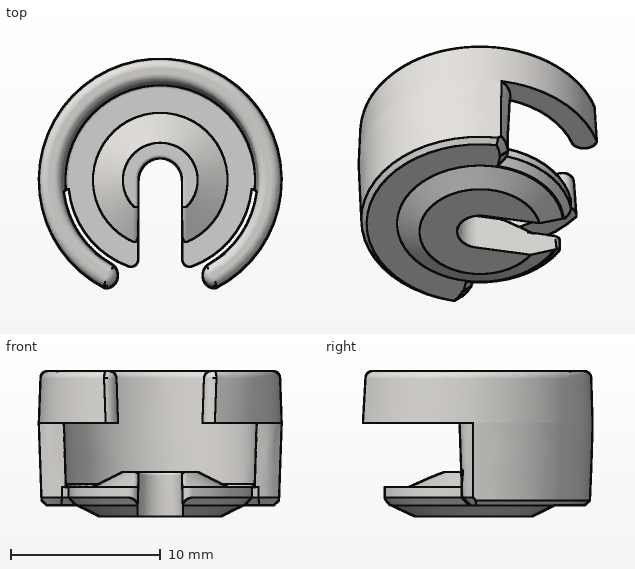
import cadquery as cq
import math

FLOOR_BOTTOM = 0.75
CHAMFER_TOP = 1.28
FLOOR_TOP = 2.0
HUB_TOP = 3.0
BAND_BOTTOM = 6.25
RIM_TOP = 9.75

DRAFT_ANGLE = 2.0
DRAFT_SLOPE = math.tan(math.radians(DRAFT_ANGLE))
OUTER_RADIUS = 8.125
INNER_RADIUS = 6.485
RIM_FILLET = 0.5
BOTTOM_CHAMFER = 0.35

STOCK_INNER_RADIUS = 6.0
WALL_STOCK = 1.0

TIP_X = 2.82
TIP_Y = -6.42
TIP_OUTER_RUN = 0.83
TIP_INNER_RUN = 0.58

WALL_END_Y = -0.8
WALL_ROUND_Y = 0.1

DISC_RADIUS = 6.15
DISC_CHAMFER = CHAMFER_TOP - FLOOR_BOTTOM
HUB_TOP_RADIUS = 2.5
HUB_BASE_RADIUS = 4.5
CONE_BOTTOM_RADIUS = 4.05
CONE_TOP_RADIUS = 5.55
HUB_SKIRT = 0.5
BACK_FLOOR_RADIUS = 6.6
BACK_FLOOR_FRONT_Y = -0.65
FLOOR_FILLET = 0.2

SLOT_HALF_WIDTH = 1.535
SLOT_EDGE_FILLET = 0.25
SLOT_MOUTH_FILLET = 0.5
SLOT_REACH = 10.0


def shrink(z):
    """Draft setback at height z, measured from the underside of the band."""
    return abs(z - BAND_BOTTOM) * DRAFT_SLOPE


def outer_radius(z):
    """The outside narrows both up and down from the underside of the band."""
    return OUTER_RADIUS - shrink(z)


def inner_radius(z):
    """The bore opens steadily upward."""
    return INNER_RADIUS + (z - BAND_BOTTOM) * DRAFT_SLOPE


def on_circle(radius, x):
    """Point of a circle at the given x, on its -Y half."""
    return (x, -math.sqrt(radius**2 - x**2))


def mirrored(point):
    return (-point[0], point[1])


def at_radius(point, radius):
    """Slide a point along its radial line to the given radius."""
    scale = radius / math.hypot(*point)
    return (point[0] * scale, point[1] * scale)


def c_outline(z, outer_end, middle, inner_end, outer_stock=0.0):
    """C-shaped wire open toward -Y, with a rounded end through the three given +X points.

    It reaches inward past the bore, and outward past outer_end by outer_stock.
    """
    stock_inner = at_radius(inner_end, STOCK_INNER_RADIUS)
    arc_radius = math.hypot(*outer_end) + outer_stock
    stock_outer = at_radius(outer_end, arc_radius)
    outline = (
        cq.Workplane("XY", origin=(0, 0, z))
        .moveTo(*stock_outer)
        .threePointArc((0, arc_radius), mirrored(stock_outer))
    )
    if outer_stock > 0:
        outline = outline.lineTo(*mirrored(outer_end))
    return (
        outline
        .threePointArc(mirrored(middle), mirrored(inner_end))
        .lineTo(*mirrored(stock_inner))
        .threePointArc((0, STOCK_INNER_RADIUS), stock_inner)
        .lineTo(*inner_end)
        .threePointArc(middle, outer_end)
        .close()
        .val()
    )


def band_outline(z):
    tip_x = TIP_X + shrink(z)
    outer_end = on_circle(outer_radius(z), tip_x + TIP_OUTER_RUN)
    inner_end = on_circle(inner_radius(z), tip_x + TIP_INNER_RUN)
    return c_outline(z, outer_end, (tip_x, TIP_Y), inner_end)


def wall_outline(z, end_setback=0.0):
    """Each end is an arc, parallel to X at the bore and curving back to the outside."""
    end_y = WALL_END_Y + shrink(z) + end_setback
    round_y = WALL_ROUND_Y + end_setback
    outer_end = (math.sqrt(outer_radius(z)**2 - round_y**2), round_y)
    inner_end = (math.sqrt(inner_radius(z)**2 - end_y**2), end_y)
    run = outer_end[0] - inner_end[0]
    rise = round_y - end_y
    arc_radius = (run**2 + rise**2) / (2 * rise)
    half_angle = math.atan2(rise, run)
    middle = (
        inner_end[0] + arc_radius * math.sin(half_angle),
        end_y + arc_radius * (1 - math.cos(half_angle)),
    )
    return c_outline(z, outer_end, middle, inner_end, WALL_STOCK)


def ruled_solid(lower, upper):
    return cq.Workplane(cq.Solid.makeLoft([lower, upper], True))


def revolved(points):
    """Turn a closed (radius, z) outline about the Z axis."""
    return cq.Workplane("XZ").polyline(points).close().revolve(360, (0, 0), (0, 1))


def behind(y, z_low, z_high):
    """Block covering everything on the +Y side of y between two heights."""
    width = 2 * OUTER_RADIUS
    return (
        cq.Workplane("XY")
        .box(width, OUTER_RADIUS - y, z_high - z_low, centered=(True, False, False))
        .translate((0, y, z_low))
    )


def upper_band():
    """Long C-shaped band, tapering toward the rim."""
    return ruled_solid(band_outline(BAND_BOTTOM), band_outline(RIM_TOP))


def lower_wall():
    """Half-ring wall with sloping foot ends and a chamfered outer bottom edge."""
    wall = ruled_solid(wall_outline(CHAMFER_TOP), wall_outline(BAND_BOTTOM))
    foot = ruled_solid(wall_outline(FLOOR_BOTTOM, DISC_CHAMFER), wall_outline(CHAMFER_TOP))
    chamfer_top = FLOOR_BOTTOM + BOTTOM_CHAMFER
    outside = revolved([
        (0, FLOOR_BOTTOM),
        (outer_radius(FLOOR_BOTTOM) - BOTTOM_CHAMFER, FLOOR_BOTTOM),
        (outer_radius(chamfer_top), chamfer_top),
        (OUTER_RADIUS, BAND_BOTTOM),
        (0, BAND_BOTTOM),
    ])
    return wall.union(foot).intersect(outside)


def clip_ring():
    """Wall and band with their common tapered bore and rounded rim."""
    bore = revolved([
        (0, FLOOR_BOTTOM),
        (inner_radius(FLOOR_BOTTOM), FLOOR_BOTTOM),
        (inner_radius(RIM_TOP), RIM_TOP),
        (0, RIM_TOP),
    ])
    ring = lower_wall().union(upper_band()).cut(bore)
    return ring.faces(">Z").edges().fillet(RIM_FILLET)


def coned_disc():
    """Floor disc with the lower cone, chamfered along its underside."""
    return revolved([
        (0, 0),
        (CONE_BOTTOM_RADIUS, 0),
        (CONE_TOP_RADIUS, FLOOR_BOTTOM),
        (DISC_RADIUS - DISC_CHAMFER, FLOOR_BOTTOM),
        (DISC_RADIUS, CHAMFER_TOP),
        (DISC_RADIUS, FLOOR_TOP),
        (0, FLOOR_TOP),
    ])


def back_floor():
    """Joins the disc to the wall along the rear half."""
    floor = (
        cq.Workplane("XY", origin=(0, 0, FLOOR_BOTTOM))
        .circle(BACK_FLOOR_RADIUS)
        .extrude(FLOOR_TOP - FLOOR_BOTTOM)
    )
    front = behind(BACK_FLOOR_FRONT_Y, FLOOR_BOTTOM, FLOOR_TOP)
    front = front.faces("<Y").edges("<Z").chamfer(DISC_CHAMFER)
    return floor.intersect(front)


def floor_fillet():
    """Concave round between the floor and the bore of the wall."""
    bore = inner_radius(FLOOR_TOP)
    fillet_top = FLOOR_TOP + FLOOR_FILLET
    diagonal = FLOOR_FILLET * math.sqrt(0.5)
    ring = (
        cq.Workplane("XZ")
        .moveTo(bore - FLOOR_FILLET, FLOOR_TOP)
        .threePointArc(
            (bore - FLOOR_FILLET + diagonal, fillet_top - diagonal),
            (bore, fillet_top),
        )
        .lineTo(bore + FLOOR_FILLET, fillet_top)
        .lineTo(bore + FLOOR_FILLET, FLOOR_TOP)
        .close()
        .revolve(360, (0, 0), (0, 1))
    )
    return ring.intersect(behind(WALL_END_Y + shrink(FLOOR_BOTTOM), FLOOR_TOP, fillet_top))


def slot_cutter():
    """Round-ended slot centred on the Z axis."""
    outline = (
        cq.Workplane("XY")
        .moveTo(SLOT_HALF_WIDTH, -SLOT_REACH)
        .lineTo(SLOT_HALF_WIDTH, 0)
        .threePointArc((0, SLOT_HALF_WIDTH), (-SLOT_HALF_WIDTH, 0))
        .lineTo(-SLOT_HALF_WIDTH, -SLOT_REACH)
        .close()
    )
    return outline.extrude(HUB_TOP, taper=DRAFT_ANGLE)


def mouth_cutter():
    """Rounds the +X corner of the slot mouth, tangent to the slot side and the disc rim."""
    side_x = SLOT_HALF_WIDTH - FLOOR_TOP * DRAFT_SLOPE
    center = on_circle(DISC_RADIUS - SLOT_MOUTH_FILLET, side_x + SLOT_MOUTH_FILLET)
    rim_angle = math.atan2(center[1], center[0])
    middle_angle = (rim_angle - math.pi) / 2

    def on_round(angle):
        return (
            center[0] + SLOT_MOUTH_FILLET * math.cos(angle),
            center[1] + SLOT_MOUTH_FILLET * math.sin(angle),
        )

    rim_point = on_round(rim_angle)
    return (
        cq.Workplane("XY")
        .moveTo(side_x, center[1])
        .threePointArc(on_round(middle_angle), rim_point)
        .lineTo(rim_point[0], -SLOT_REACH)
        .lineTo(0, -SLOT_REACH)
        .lineTo(0, center[1])
        .close()
        .extrude(FLOOR_TOP)
    )


def slotted_disc():
    """Floor with the slot and its rounded mouth corners."""
    corner = mouth_cutter()
    return (
        coned_disc()
        .union(back_floor())
        .cut(slot_cutter())
        .cut(corner)
        .cut(corner.mirror("YZ"))
    )


def slotted_hub():
    """Cone over the floor, rounded along the slot; it is shaped oversize and trimmed at the floor."""
    flare = (HUB_BASE_RADIUS - HUB_TOP_RADIUS) / (HUB_TOP - FLOOR_TOP)
    skirt_bottom = FLOOR_TOP - HUB_SKIRT
    hub = revolved([
        (0, skirt_bottom),
        (HUB_BASE_RADIUS + flare * HUB_SKIRT, skirt_bottom),
        (HUB_TOP_RADIUS, HUB_TOP),
        (0, HUB_TOP),
    ]).cut(slot_cutter())
    inside_hub_rim = cq.selectors.BoxSelector(
        (-SLOT_HALF_WIDTH, -HUB_TOP_RADIUS, FLOOR_TOP),
        (SLOT_HALF_WIDTH, SLOT_HALF_WIDTH, HUB_TOP + SLOT_EDGE_FILLET),
        boundingbox=True,
    )
    top_edges = hub.faces(">Z").edges(inside_hub_rim)
    slope_edges = hub.edges("%HYPERBOLA")
    hub = top_edges.add(slope_edges).fillet(SLOT_EDGE_FILLET)
    return hub.intersect(behind(-SLOT_REACH, FLOOR_TOP, HUB_TOP))


result = clip_ring().union(floor_fillet()).union(slotted_disc()).union(slotted_hub())